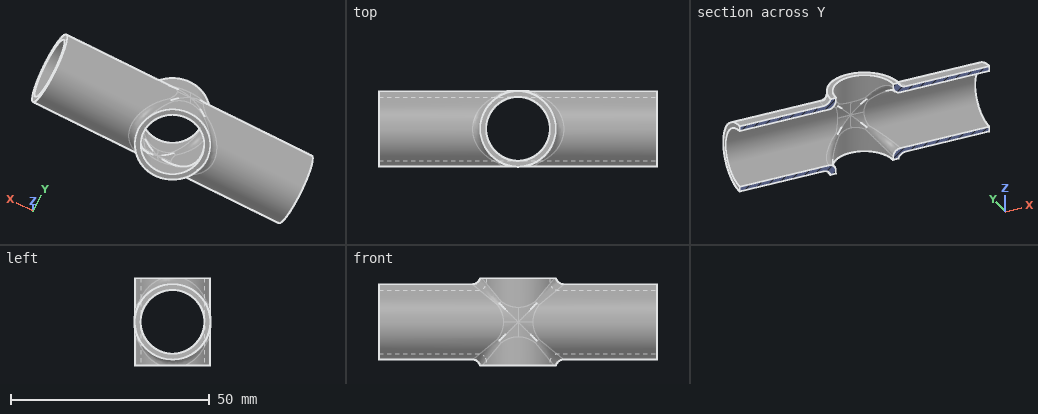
import cadquery as cq
import math

run_length = 70.0
branch_length = 22.0
outer_diameter = 19.0
bore_diameter = 16.0
fillet_radius = 2.0

pad_angle = 63.0
pad_half_width = 3.7
pad_rise = 0.11

rim_steps = 4
rib_stations = (0.3, 0.6, 0.85)
skin_degree = 8

blank_length = 2 * run_length


def crossed_cylinders(radius):
    """Two long crossing cylinders of equal radius with filleted seams."""
    run = cq.Workplane("YZ").circle(radius).extrude(blank_length / 2, both=True)
    branch = cq.Workplane("XY").circle(radius).extrude(blank_length / 2, both=True)
    branch = branch.rotate((0, 0, 0), (0, 0, 1), 90)
    cross = run.union(branch)
    seams = [edge for edge in cross.edges().vals() if edge.geomType() == "ELLIPSE"]
    return cross.newObject(seams).fillet(fillet_radius)


def pad_rim_points(radius):
    """Points on the main tube, from its +Y centreline out to the seam fillet."""
    angle = math.radians(pad_angle)
    corner_x = (radius + fillet_radius) * math.cos(angle)
    corner_z = radius * math.cos(angle)
    corner_drop = radius - radius * math.sin(angle)
    lean = (corner_x - pad_half_width) / corner_drop

    points = []
    for step in range(rim_steps + 1):
        z = corner_z * step / rim_steps
        y = math.sqrt(radius**2 - z**2)
        x = pad_half_width + lean * (radius - y)
        points.append(cq.Vector(x, y, z))
    return points


def pad_fillet_end(radius, tube_contact):
    """Half of the seam fillet's cross section, from the main tube to the diagonal."""
    angle = math.radians(pad_angle)
    center_xz = (radius + fillet_radius) * math.cos(angle)
    center = cq.Vector(center_xz, (radius + fillet_radius) * math.sin(angle), center_xz)

    def point_between(first, second):
        toward = (first + second) * 0.5 - center
        return center + toward.normalized() * fillet_radius

    branch_contact = cq.Vector(tube_contact.z, tube_contact.y, tube_contact.x)
    diagonal_contact = point_between(tube_contact, branch_contact)
    middle = point_between(tube_contact, diagonal_contact)
    return cq.Edge.makeThreePointArc(tube_contact, middle, diagonal_contact)


def pad_sector(radius):
    """One eighth of the +Y pad: from the main tube's centreline to the diagonal."""
    rim_points = pad_rim_points(radius)
    fillet_end = pad_fillet_end(radius, rim_points[-1])
    crown = cq.Vector(0, radius + pad_rise, 0)

    def rib_to(foot):
        shoulder = cq.Vector(foot.x / 2, crown.y, foot.z / 2)
        return cq.Edge.makeBezier([crown, shoulder, foot])

    border = [
        rib_to(rim_points[0]),
        cq.Edge.makeSpline(rim_points),
        fillet_end,
        rib_to(fillet_end.endPoint()),
    ]
    guide_points = []
    for foot in rim_points[1:]:
        guide_points.extend(rib_to(foot).positions(rib_stations))
    skin = cq.Face.makeNSidedSurface(border, guide_points, maxDeg=skin_degree, maxSegments=1)
    return cq.Workplane(cq.Solid.extrudeLinear(skin, cq.Vector(0, -radius / 2, 0)))


def side_pad(radius):
    """Slightly crowned pad on the +Y side, built by mirroring one sector."""
    sector = pad_sector(radius)
    diagonal_normal = cq.Vector(1, 0, -1)
    quarter = sector.union(sector.mirror(diagonal_normal))
    half = quarter.union(quarter.mirror("XY"))
    return half.union(half.mirror("YZ"))


def blended_cross(radius):
    """Crossed cylinders with filleted seams and a pad on each side."""
    pad = side_pad(radius)
    return crossed_cylinders(radius).union(pad).union(pad.mirror("XZ"))


trim_box = cq.Workplane("XY").box(run_length, 2 * outer_diameter, branch_length)
outside = blended_cross(outer_diameter / 2).intersect(trim_box)
inside = blended_cross(bore_diameter / 2)

result = outside.cut(inside).solids()